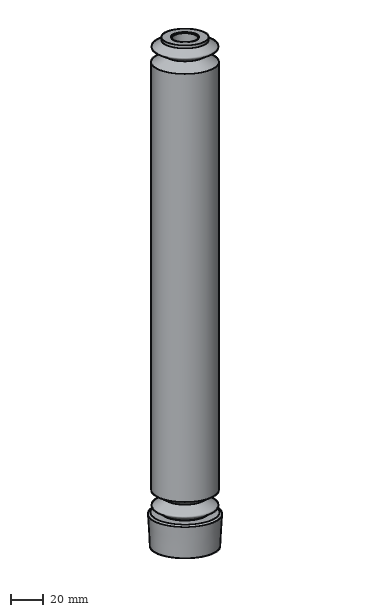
import cadquery as cq

total_length = 336.8
body_radius = 42.0 / 2

foot_height = 22.2
foot_top_radius = 46.0 / 2
foot_bottom_radius = 43.8 / 2
foot_rim_width = 1.7
foot_rim_height = 1.0

neck_radius = 29.3 / 2
neck_depth = 2.0
ring_depth = 6.5
ring_tip_allowance = 0.7
ring_edge_radius = 1.0
groove_radius = 25.3 / 2
groove_depth = 11.5
shoulder_depth = 16.5
body_start = 20.5

bore_radius = 16.0 / 2
bore_mouth_radius = 17.5 / 2


def revolve_about_z(points):
    """Turn a closed outline of (radius, height) points about the Z axis."""
    return cq.Workplane("XZ").polyline(points).close().revolve(360, (0, 0), (0, 1))


def make_body():
    """Turned body with a matching ring and groove at both ends."""
    end_profile = [
        (0, 0),
        (neck_radius, 0),
        (neck_radius, neck_depth),
        (body_radius + ring_tip_allowance, ring_depth),
        (groove_radius, groove_depth),
        (body_radius, shoulder_depth),
    ]
    lower = [(radius, body_start + depth) for radius, depth in end_profile]
    upper = [(radius, total_length - depth) for radius, depth in reversed(end_profile)]
    body = revolve_about_z(lower + upper)
    for ring_height in (body_start + ring_depth, total_length - ring_depth):
        ring_edge = cq.selectors.BoxSelector(
            (-foot_top_radius, -foot_top_radius, ring_height - ring_edge_radius),
            (foot_top_radius, foot_top_radius, ring_height + ring_edge_radius),
            boundingbox=True,
        )
        body = body.edges(ring_edge).edges("%CIRCLE").fillet(ring_edge_radius)
    return body


def make_foot():
    """Foot that narrows downwards, with a chamfered upper rim."""
    return revolve_about_z([
        (0, 0),
        (foot_bottom_radius, 0),
        (foot_top_radius, foot_height - foot_rim_height),
        (foot_top_radius - foot_rim_width, foot_height),
        (0, foot_height),
    ])


def make_bore():
    """Through bore with a 45 degree countersink at the upper mouth."""
    countersink_depth = bore_mouth_radius - bore_radius
    return revolve_about_z([
        (0, 0),
        (bore_radius, 0),
        (bore_radius, total_length - countersink_depth),
        (bore_mouth_radius, total_length),
        (0, total_length),
    ])


result = make_body().union(make_foot()).cut(make_bore())